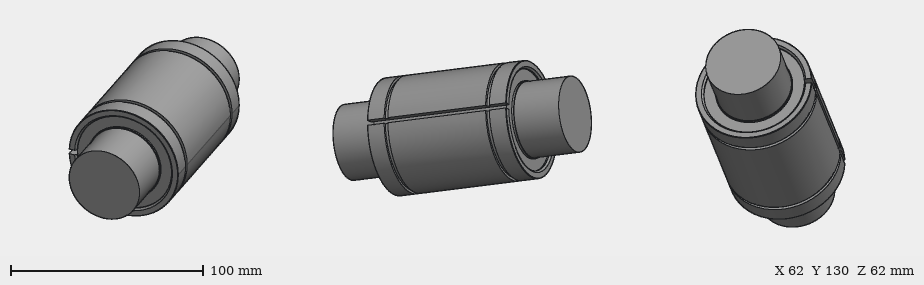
import cadquery as cq

shaft_diameter = 40.0
shaft_length = 130.0

sleeve_diameter = 62.0
sleeve_length = 80.0
sleeve_edge_chamfer = 0.3

groove_diameter = 59.0
groove_width = 2.15
groove_outer_span = 60.6

recess_depth = 1.8
recess_chamfer = 1.0
seal_diameter = 53.6

lip_diameter = 41.0
lip_height = 1.1

slot_width = 2.75

sleeve_end = sleeve_length / 2
seal_face = sleeve_end - recess_depth
lip_end = seal_face + lip_height


def cylinder(diameter, length):
    """Cylinder along Y, centred on the origin."""
    return cq.Workplane("XZ").circle(diameter / 2).extrude(length / 2, both=True)


def make_groove():
    """Ring to be cut for the retaining-ring groove near the +Y end."""
    return (
        cq.Workplane("XZ", origin=(0, groove_outer_span / 2, 0))
        .circle(sleeve_diameter / 2)
        .circle(groove_diameter / 2)
        .extrude(groove_width)
    )


def make_end_recess():
    """Plug to be cut from the +Y end: a cylinder down to the seal, flared at the mouth."""
    bore = cq.Workplane("XZ", origin=(0, sleeve_end, 0)).circle(seal_diameter / 2).extrude(recess_depth)
    flare = (
        cq.Workplane("XZ", origin=(0, sleeve_end, 0))
        .circle(seal_diameter / 2 + recess_chamfer)
        .workplane(offset=recess_chamfer)
        .circle(seal_diameter / 2)
        .loft(ruled=True)
    )
    return bore.union(flare)


def make_slot():
    """Full-length block to be cut through the sleeve wall on the -X side."""
    return (
        cq.Workplane("XY")
        .center(-sleeve_diameter / 4, 0)
        .box(sleeve_diameter / 2, sleeve_length, slot_width)
    )


def make_sleeve():
    """Sleeve blank with chamfered rims, two grooves, two end recesses and the slot."""
    sleeve = cylinder(sleeve_diameter, sleeve_length).edges("%CIRCLE").chamfer(sleeve_edge_chamfer)
    for cutter in (make_groove(), make_end_recess()):
        sleeve = sleeve.cut(cutter).cut(cutter.mirror("XZ"))
    return sleeve.cut(make_slot())


def make_core():
    """Shaft with the body between the seal faces and the lip at each end."""
    shaft = cylinder(shaft_diameter, shaft_length)
    seal_body = cylinder(seal_diameter, 2 * seal_face)
    lips = cylinder(lip_diameter, 2 * lip_end)
    return shaft.union(seal_body).union(lips)


result = make_sleeve().union(make_core())